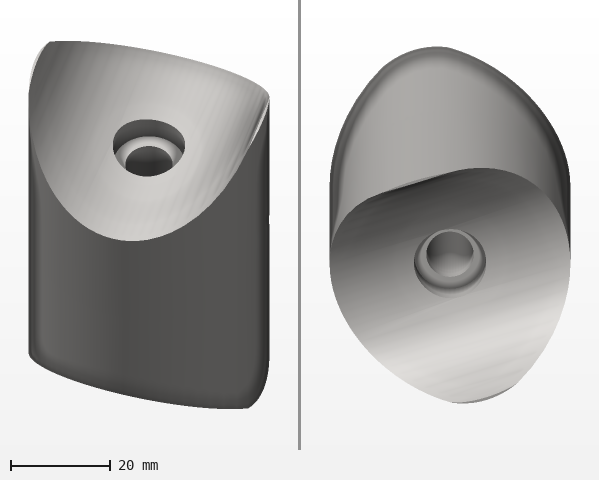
import cadquery as cq

total_height = 88.0
body_diameter = 48.3
half_height = total_height / 2
body_radius = body_diameter / 2

saddle_radius = body_radius
saddle_floor_height = 25.0
saddle_axis_height = saddle_floor_height + saddle_radius

horn_radius = 14.25
horn_axis_height = half_height - horn_radius
horn_shoulder_height = (horn_axis_height + saddle_axis_height) / 2

through_hole_diameter = 9.5
counterbore_diameter = 14.5
counterbore_floor_height = 19.6


def cylinder_along(plane, radius, length, height):
    """Cylinder centred on the Z axis at a height, lying along the normal of a plane."""
    return (
        cq.Workplane(plane, origin=(0, 0, height))
        .circle(radius)
        .extrude(length / 2, both=True)
    )


def make_horn_envelope():
    """Square block as wide as the body up to the horn shoulder, with a rounded ridge above it."""
    lower_block = cq.Workplane("XY").rect(body_diameter, body_diameter).extrude(horn_shoulder_height)
    rounded_top = cylinder_along("YZ", horn_radius, body_diameter, horn_axis_height)
    return lower_block.union(rounded_top)


def make_upper_half():
    """Round block with a saddle and rounded horns on top and a stepped hole through it."""
    block = cq.Workplane("XY").circle(body_radius).extrude(half_height)
    saddle = cylinder_along("XZ", saddle_radius, body_diameter, saddle_axis_height)
    through_hole = cq.Workplane("XY").circle(through_hole_diameter / 2).extrude(half_height)
    counterbore = (
        cq.Workplane("XY", origin=(0, 0, counterbore_floor_height))
        .circle(counterbore_diameter / 2)
        .extrude(half_height - counterbore_floor_height)
    )
    return (
        block.cut(saddle)
        .intersect(make_horn_envelope())
        .cut(through_hole)
        .cut(counterbore)
    )


def make_lower_half():
    """Mirror image of the upper half, meeting it at mid height."""
    return make_upper_half().mirror("XY")


upper_half = make_upper_half()
lower_half = make_lower_half()

result = cq.Compound.makeCompound([upper_half.val(), lower_half.val()])